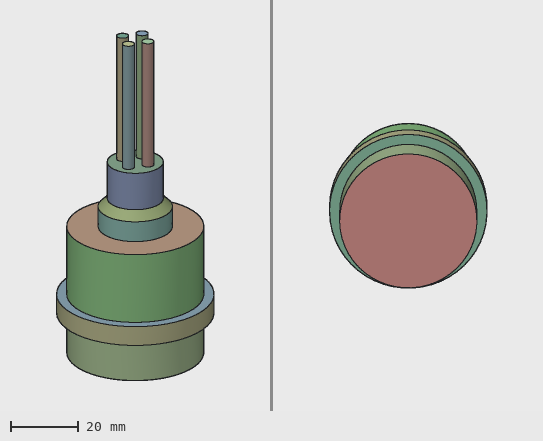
import cadquery as cq

total_height = 101.8

body_diameter = 40.5
body_height = 40.9
flange_diameter = 46.5
flange_bottom = 12.8
flange_thickness = 6.1

collar_diameter = 22.0
collar_height = 6.4
neck_diameter = 16.6
neck_height = 11.8
taper_height = (collar_diameter - neck_diameter) / 2

wire_diameter = 3.6
wire_spacing = 6.0

taper_bottom = body_height + collar_height
neck_bottom = taper_bottom + taper_height
neck_top = neck_bottom + neck_height


def cylinder(diameter, bottom, top):
    """Upright cylinder on the part axis between two heights."""
    return cq.Workplane("XY").workplane(offset=bottom).circle(diameter / 2).extrude(top - bottom)


def make_body():
    """Round body with a flange around its lower half."""
    body = cylinder(body_diameter, 0, body_height)
    flange = cylinder(flange_diameter, flange_bottom, flange_bottom + flange_thickness)
    return body.union(flange)


def make_cable_outlet():
    """Collar that tapers into a narrower neck."""
    collar = cylinder(collar_diameter, body_height, neck_bottom)
    collar = collar.faces(">Z").chamfer(taper_height)
    neck = cylinder(neck_diameter, neck_bottom, neck_top)
    return collar.union(neck)


def make_wires():
    """Wires standing on the end of the neck."""
    return (
        cq.Workplane("XY")
        .workplane(offset=neck_top)
        .rarray(wire_spacing, wire_spacing, 2, 2)
        .circle(wire_diameter / 2)
        .extrude(total_height - neck_top)
    )


result = make_body().union(make_cable_outlet()).union(make_wires())